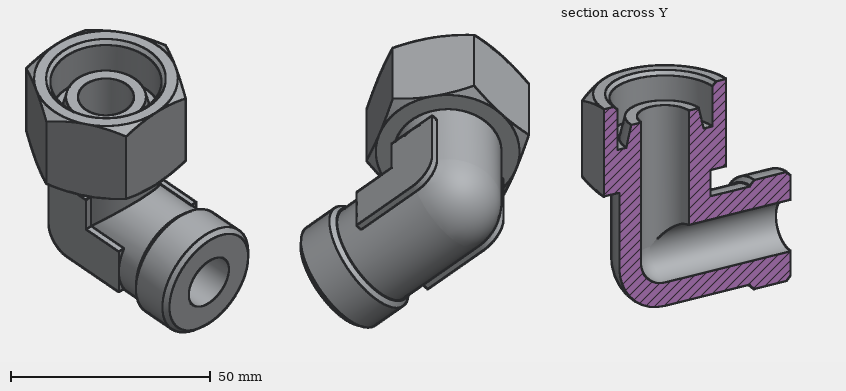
import cadquery as cq
import math


overall_height = 59.5

body_dia = 27.0
body_radius = body_dia / 2
bore_dia = 14.0

collar_dia = 30.0
collar_start = 25.0
collar_end = 37.0
collar_chamfer = 1.25

nut_flats = 36.0
nut_height = 24.0
nut_top = overall_height - collar_dia / 2
nut_bottom = nut_top - nut_height
nut_corner_radius = nut_flats / math.sqrt(3)
nut_chamfer_angle = 30
nut_bore_dia = 27.85
nut_mouth_dia = 30.0
nut_bore_depth = 12.0
recess_floor = nut_top - nut_bore_depth

nose_base_dia = 22.9
nose_tip_dia = 20.0
nose_top = 38.4

pad_half_width = body_radius / 2
pad_top = 16.55
pad_end = 18.55


def upright_cylinder(diameter, bottom, top):
    return cq.Workplane("XY").workplane(offset=bottom).circle(diameter / 2).extrude(top - bottom)


def outlet_cylinder(diameter, start, end):
    return cq.Workplane("YZ").workplane(offset=start).circle(diameter / 2).extrude(end - start)


def elbow(diameter, top, end):
    """Two round legs joined by a spherical corner."""
    corner = cq.Workplane("XY").sphere(diameter / 2)
    return corner.union(upright_cylinder(diameter, 0, top)).union(outlet_cylinder(diameter, 0, end))


def side_pads():
    """L-shaped block whose flat sides stand out from the round legs."""
    w = pad_half_width
    arc_mid = -w * math.sqrt(0.5)
    outline = (
        cq.Workplane("XZ")
        .moveTo(-w, pad_top)
        .lineTo(w, pad_top)
        .lineTo(w, w)
        .lineTo(pad_end, w)
        .lineTo(pad_end, -w)
        .lineTo(0, -w)
        .threePointArc((arc_mid, arc_mid), (-w, 0))
        .close()
    )
    return outline.extrude(body_radius, both=True)


def hexagon_nut():
    """Solid hexagon, flats facing +X and -X, with conical chamfers at both ends."""
    prism = (
        cq.Workplane("XY")
        .workplane(offset=nut_bottom)
        .polygon(6, 2 * nut_corner_radius)
        .extrude(nut_height)
        .rotate((0, 0, 0), (0, 0, 1), 30)
    )
    flat_radius = nut_flats / 2
    drop = (nut_corner_radius - flat_radius) * math.tan(math.radians(nut_chamfer_angle))
    chamfer_envelope = (
        cq.Workplane("XZ")
        .moveTo(0, nut_bottom)
        .lineTo(flat_radius, nut_bottom)
        .lineTo(nut_corner_radius, nut_bottom + drop)
        .lineTo(nut_corner_radius, nut_top - drop)
        .lineTo(flat_radius, nut_top)
        .lineTo(0, nut_top)
        .close()
        .revolve(360, (0, 0, 0), (0, 1, 0))
    )
    return prism.intersect(chamfer_envelope)


def nut_recess():
    """Bore of the nut with a 45 degree countersink at its mouth."""
    mouth_chamfer = (nut_mouth_dia - nut_bore_dia) / 2
    bore = upright_cylinder(nut_bore_dia, recess_floor, nut_top)
    countersink = (
        cq.Workplane("XY")
        .workplane(offset=nut_top)
        .circle(nut_mouth_dia / 2)
        .workplane(offset=-mouth_chamfer)
        .circle(nut_bore_dia / 2)
        .loft()
    )
    return bore.union(countersink)


def nose():
    """Plug rising from the recess floor and narrowing towards its tip."""
    return (
        cq.Workplane("XZ")
        .moveTo(0, recess_floor)
        .lineTo(nose_base_dia / 2, recess_floor)
        .lineTo(nose_tip_dia / 2, nose_top)
        .lineTo(0, nose_top)
        .close()
        .revolve(360, (0, 0, 0), (0, 1, 0))
    )


collar = outlet_cylinder(collar_dia, collar_start, collar_end).edges().chamfer(collar_chamfer)
body = elbow(body_dia, nut_bottom, collar_end - collar_chamfer).union(collar).union(side_pads())
nut = hexagon_nut().cut(nut_recess()).union(nose())
result = body.union(nut).cut(elbow(bore_dia, nose_top, collar_end))